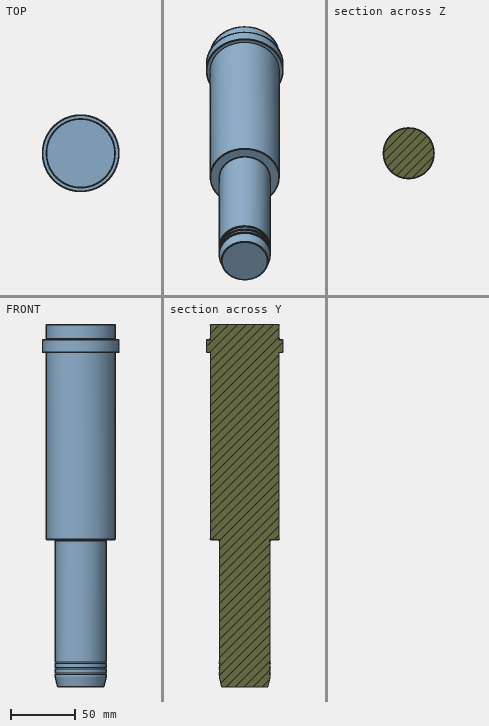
import cadquery as cq

total_height = 283.0
body_diameter = 54.0
collar_diameter = 60.0
shaft_diameter = 40.0
tip_diameter = 36.2

body_bottom = 115.0
collar_top = 271.0
collar_thickness = 10.2
tip_height = 7.5

edge_chamfer = 0.5

groove_count = 3
groove_pitch = 4.2
groove_width = 1.0
groove_depth = 0.5
lowest_groove_bottom = 10.0

relief_width = 0.8
relief_depth = 0.3


def cylinder(diameter, bottom, top):
    """Solid cylinder on the Z axis between two heights."""
    return cq.Workplane("XY").workplane(offset=bottom).circle(diameter / 2).extrude(top - bottom)


def ring_groove(diameter, depth, bottom, width):
    """Ring of material to remove from a cylinder of the given diameter."""
    outer = cylinder(diameter + 2 * depth, bottom, bottom + width)
    core = cylinder(diameter - 2 * depth, bottom, bottom + width)
    return outer.cut(core)


taper_inset = (shaft_diameter - tip_diameter) / 2
shaft = cylinder(shaft_diameter, 0, body_bottom)
shaft = shaft.faces("<Z").chamfer(tip_height, taper_inset)
shaft = shaft.faces("<Z").chamfer(edge_chamfer)

body = cylinder(body_diameter, body_bottom, total_height).edges().chamfer(edge_chamfer)
collar = cylinder(collar_diameter, collar_top - collar_thickness, collar_top).edges().chamfer(edge_chamfer)
result = shaft.union(body).union(collar)

for index in range(groove_count):
    groove_bottom = lowest_groove_bottom + index * groove_pitch
    result = result.cut(ring_groove(shaft_diameter, groove_depth, groove_bottom, groove_width))

result = result.cut(ring_groove(body_diameter, relief_depth, collar_top, relief_width))

relief_bottom = body_bottom - relief_width
result = result.cut(ring_groove(shaft_diameter, relief_depth, relief_bottom, relief_width))